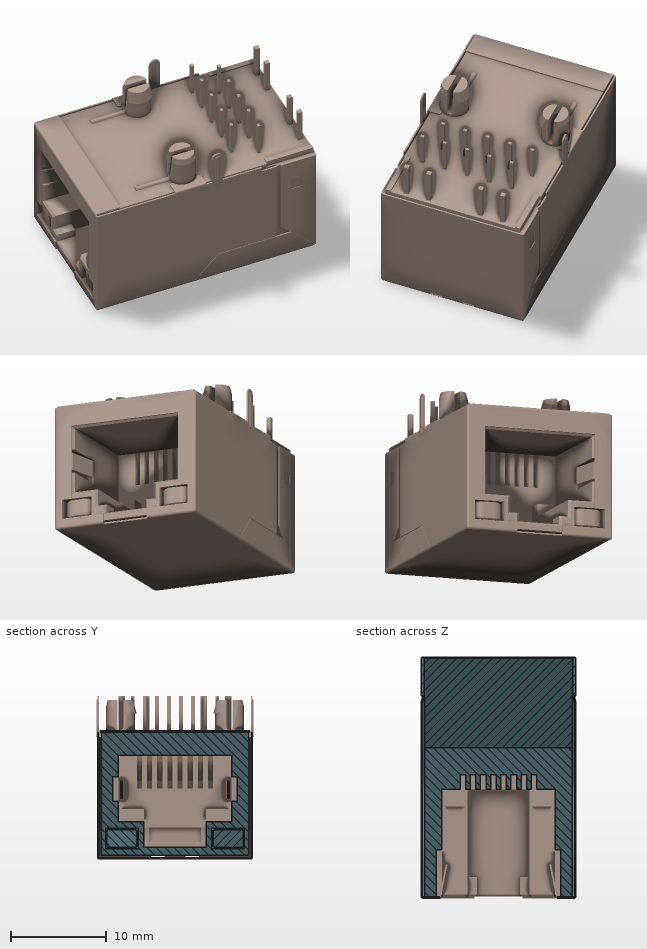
import cadquery as cq
import math


SIDES = (-1, 1)

length = 25.3
half_width = 8.12
sheet = 0.18
bend = 0.25
overall_top = 17.05
root = 0.25
core_bottom = 0.38
core_top = 13.25
core_half_width = 7.77
core_split = 15.79

shield_top = core_top + sheet
inner_half_width = half_width - sheet
rear_inner = length - sheet

port_half_width = 5.92
port_top = 10.85
shelf_z = 3.92
shelf_half_gap = 3.26
sill_z = 2.15
sill_half_gap = 2.28
floor_z = 1.25
port_bevel = 0.23
port_end = 11.38

window_half_width = port_half_width + port_bevel
window_top = port_top + port_bevel
notch_half_width = sill_half_gap + port_bevel

light_x = 5.57
pocket_width = 3.35
pocket_bottom = 1.1
pocket_top = 3.2
pocket_depth = 3.04

peg_x = 5.72
peg_y = 10.83

spring_bottom = 6.32
spring_top = 8.15
spring_end = 3.55


def block(x0, x1, y0, y1, z0, z1):
    """Axis-aligned block between two X, two Y and two Z values, in any order."""
    return (
        cq.Workplane("XY")
        .box(abs(x1 - x0), abs(y1 - y0), abs(z1 - z0))
        .translate(((x0 + x1) / 2, (y0 + y1) / 2, (z0 + z1) / 2))
    )


def both_sides(shape):
    """The shape together with its mirror image across the YZ plane."""
    return shape.union(shape.mirror("YZ"))


lip_length = 2.83
lip_half_width = 7.82
rear_wall_top = 12.78
side_relief_y = 18.98

flap_edge = 21.18
joggle_start = 20.37
bottom_flap_top = 2.93
bottom_flap_front = 14.02
bottom_flap_rear = 22.35
seam = 0.05


def shield_shell():
    shell = block(-half_width, half_width, 0, length, 0, shield_top)
    shell = shell.edges("|Z").fillet(bend)
    shell = shell.faces("<Z").edges().fillet(bend)
    shell = shell.faces(">Z").edges("<Y").fillet(bend)
    shell = shell.cut(block(-inner_half_width, inner_half_width, sheet, rear_inner, sheet, core_top))
    shell = shell.cut(block(-half_width, half_width, lip_length, length, core_top, shield_top))
    shell = shell.cut(both_sides(block(lip_half_width, half_width, 0, length, core_top, shield_top)))
    return shell.cut(block(-half_width, half_width, side_relief_y, length, rear_wall_top, shield_top))


def front_window():
    """Opening for the port and both lights, with a notch through the bottom edge."""
    pocket_outer = light_x + pocket_width / 2
    depth = 2 * bend
    port = block(-window_half_width, window_half_width, 0, depth, pocket_bottom, window_top)
    lights = block(-pocket_outer, pocket_outer, 0, depth, pocket_bottom, pocket_top - seam)
    notch = block(-notch_half_width, notch_half_width, 0, bend, 0, pocket_bottom)
    return port.union(lights).union(notch)


def rear_slots():
    """Slots beside the tongue that joins the rear panel to the bottom."""
    tongue_half_width = 1.11
    slot_top = core_bottom
    relief = 0.1
    slots = block(tongue_half_width, notch_half_width, rear_inner, length, sheet, slot_top)
    corner = block(inner_half_width, half_width, rear_inner - relief, rear_inner, sheet, slot_top)
    return both_sides(slots.union(corner))


def side_prism(points):
    """YZ outline extruded through the right side wall."""
    return (
        cq.Workplane("YZ", origin=(inner_half_width, 0, 0))
        .polyline(points)
        .close()
        .extrude(sheet)
    )


def side_seams():
    """Gaps around the bottom flap, and the window that shows the joggled inner sheet."""
    rise = bottom_flap_top - bend
    front_foot = bottom_flap_front - rise
    rear_foot = bottom_flap_rear + rise
    bottom_seam = side_prism([
        (front_foot, bend),
        (bottom_flap_front, bottom_flap_top),
        (bottom_flap_rear, bottom_flap_top),
        (rear_foot, bend),
        (rear_foot + seam, bend),
        (bottom_flap_rear + seam, bottom_flap_top + seam),
        (bottom_flap_front - seam, bottom_flap_top + seam),
        (front_foot - seam, bend),
    ])
    joggle_window = side_prism([
        (joggle_start, bottom_flap_top),
        (bottom_flap_rear, bottom_flap_top),
        (flap_edge, bottom_flap_top + bottom_flap_rear - flap_edge),
        (flap_edge, rear_wall_top),
        (joggle_start, rear_wall_top),
    ])
    return both_sides(bottom_seam.union(joggle_window))


def joggled_sheet():
    """Rear end of a side wall, stepped inward by one sheet in an S bend behind the rear flap."""
    overlap = 0.13
    mid_y = (joggle_start + flap_edge) / 2
    deep = inner_half_width - sheet
    sheet_plan = (
        cq.Workplane("XY", origin=(0, 0, bottom_flap_top + seam))
        .moveTo(half_width, joggle_start - overlap)
        .lineTo(half_width, joggle_start)
        .tangentArcPoint((half_width - sheet / 2, mid_y), relative=False)
        .tangentArcPoint((inner_half_width, flap_edge), relative=False)
        .lineTo(inner_half_width, rear_inner)
        .lineTo(deep, rear_inner)
        .lineTo(deep, flap_edge)
        .tangentArcPoint((inner_half_width - sheet / 2, mid_y), relative=False)
        .tangentArcPoint((inner_half_width, joggle_start), relative=False)
        .lineTo(inner_half_width, joggle_start - overlap)
        .close()
    )
    return sheet_plan.extrude(rear_wall_top - bottom_flap_top - seam)


def latch_recess():
    """Shallow square recesses in the rear flaps."""
    size = 1.35
    centre_y = 23.0
    centre_z = 9.72
    corner = 0.15
    depth = 0.05
    recess = block(half_width - depth, half_width, centre_y - size / 2, centre_y + size / 2,
                   centre_z - size / 2, centre_z + size / 2)
    return both_sides(recess.edges("|X").fillet(corner))


def peg_tab():
    """Tab folded from a side wall onto the housing, cut away around the peg."""
    tab_half_length = 1.77
    tab_inner = 6.6
    tab_bend = 0.15
    corner = 0.25
    clearance_radius = 1.65
    tab = block(tab_inner, half_width, peg_y - tab_half_length, peg_y + tab_half_length,
                core_top, shield_top)
    tab = tab.edges("|Z and <X").fillet(corner).edges("|Y and >X and >Z").fillet(tab_bend)
    clearance = (
        cq.Workplane("XY", origin=(peg_x, peg_y, core_top)).circle(clearance_radius).extrude(sheet)
    )
    return tab.cut(clearance)


def ground_post(shield):
    """Adds the round-ended posts on both side walls, with their embossed stiffening ribs."""
    post_y = 13.9
    post_width = 1.21
    rib_width = 0.58
    rib_bottom = 12.73
    rib_top = 16.77
    rib_height = 0.08
    rib_slope = 45.0
    post_radius = post_width / 2
    post = block(inner_half_width, half_width, post_y - post_radius, post_y + post_radius,
                 core_top - root, overall_top - post_radius)
    cap = (
        cq.Workplane("YZ", origin=(inner_half_width, post_y, overall_top - post_radius))
        .circle(post_radius)
        .extrude(sheet)
    )

    def rib(base_x):
        return (
            cq.Workplane("YZ", origin=(base_x, post_y, (rib_bottom + rib_top) / 2))
            .slot2D(rib_top - rib_bottom, rib_width, 90)
            .extrude(rib_height, taper=rib_slope)
        )

    shield = shield.union(both_sides(post.union(cap)))
    shield = shield.union(both_sides(rib(half_width)))
    return shield.cut(both_sides(rib(inner_half_width)))


def side_spring():
    """Leaf spring bent from the window edge into the port."""
    tip_x = 5.35
    shoulder_x = 6.02
    return (
        cq.Workplane("XY", origin=(0, 0, spring_bottom))
        .polyline([
            (window_half_width + sheet, 0),
            (window_half_width, 0),
            (shoulder_x, sheet),
            (tip_x, spring_end),
            (tip_x + sheet, spring_end + seam),
            (shoulder_x + sheet, sheet),
            (window_half_width + sheet, sheet),
        ])
        .close()
        .extrude(spring_top - spring_bottom)
    )


def make_shield():
    shield = shield_shell()
    shield = shield.cut(front_window()).cut(rear_slots())
    shield = shield.cut(side_seams()).cut(latch_recess())
    shield = shield.union(both_sides(joggled_sheet()))
    shield = shield.union(both_sides(peg_tab())).union(both_sides(side_spring()))
    return ground_post(shield)


def port_outline(offset, y):
    """Stepped port outline, grown by an offset, on the plane at the given Y."""
    right = [
        (port_half_width + offset, port_top + offset),
        (port_half_width + offset, shelf_z - offset),
        (shelf_half_gap + offset, shelf_z - offset),
        (shelf_half_gap + offset, sill_z - offset),
        (sill_half_gap + offset, sill_z - offset),
        (sill_half_gap + offset, floor_z - offset),
    ]
    left = [(-x, z) for x, z in reversed(right)]
    return cq.Workplane("XZ", origin=(0, y, 0)).polyline(right + left).close()


def port_cavity():
    sill_end = 2.23
    stop_front = 9.61
    stop_top = 5.25
    latch_half_width = 2.7
    latch_top = 3.3
    latch_step_end = 12.15
    latch_end = 12.65
    front = sheet
    cavity = port_outline(0, front).extrude(front - port_end)
    bevel = port_outline(port_bevel, front).extrude(-port_bevel, taper=45)
    behind_sills = block(-shelf_half_gap, shelf_half_gap, sill_end, port_end, floor_z, shelf_z)
    latch_step = block(-shelf_half_gap, shelf_half_gap, port_end, latch_step_end, floor_z, latch_top)
    latch_pocket = block(-latch_half_width, latch_half_width, port_end, latch_end, floor_z, latch_top)
    stop = block(shelf_half_gap, port_half_width, stop_front, port_end, shelf_z, stop_top)
    cavity = cavity.union(bevel).union(behind_sills).union(latch_step).union(latch_pocket)
    return cavity.cut(both_sides(stop))


def contact_slots():
    """Row of slots in the port's rear wall, each with a ceiling sloping up to the front."""
    count = 8
    pitch = 1.05
    width = 0.53
    bottom = 7.35
    slope_start = 8.15
    end = 13.15
    outline = [(port_end, bottom), (end, bottom), (end, slope_start), (port_end, port_top)]
    slot = cq.Workplane("YZ", origin=(-width / 2, 0, 0)).polyline(outline).close().extrude(width)
    slots = cq.Workplane("XY")
    for index in range(count):
        slots = slots.union(slot.translate(((index - (count - 1) / 2) * pitch, 0, 0)))
    return slots


def spring_recess():
    """Recess in the port's side wall behind a side spring."""
    bottom = 6.07
    top = 8.58
    end = 5.05
    depth = 0.55
    return block(port_half_width, port_half_width + depth, sheet, end, bottom, top)


def light_pocket():
    return block(light_x - pocket_width / 2, light_x + pocket_width / 2,
                 sheet, pocket_depth, pocket_bottom, pocket_top)


peg_slot_width = 0.6
peg_slot_bottom = 13.5


def board_peg():
    """Right-hand split peg: slotted post with sloping front and rear flats and an inward barb."""
    radius = 3.0 / 2
    top = 16.67
    top_radius = 1.35
    shoulder_z = 16.01
    barb_radius = 1.67
    barb_bottom = 15.23
    barb_top = 15.38
    flat_slope = 4.8
    base_half_depth = 1.5

    post_half = [(0, core_top), (radius, core_top), (radius, shoulder_z), (top_radius, top), (0, top)]
    barb_half = [(0, barb_bottom), (barb_radius, barb_bottom), (barb_radius, barb_top),
                 (top_radius, top), (0, top)]
    post = cq.Workplane("XZ").polyline(post_half).close().revolve(360, (0, 0), (0, 1))
    barb = cq.Workplane("XZ").polyline(barb_half).close().revolve(360, (0, 0), (0, 1))
    inward = block(-2 * radius, 0, -2 * radius, 2 * radius, core_top, top)
    peg = post.union(barb.intersect(inward))

    top_half_depth = base_half_depth - (top - core_top) * math.tan(math.radians(flat_slope))
    flats = (
        cq.Workplane("YZ", origin=(-2 * radius, 0, 0))
        .polyline([(-base_half_depth, core_top), (base_half_depth, core_top),
                   (top_half_depth, top), (-top_half_depth, top)])
        .close()
        .extrude(4 * radius)
    )
    slot_radius = peg_slot_width / 2
    slot = (
        cq.Workplane("XZ", origin=(0, 2 * radius, 0))
        .moveTo(-slot_radius, top)
        .lineTo(-slot_radius, peg_slot_bottom + slot_radius)
        .threePointArc((0, peg_slot_bottom), (slot_radius, peg_slot_bottom + slot_radius))
        .lineTo(slot_radius, top)
        .close()
        .extrude(4 * radius)
    )
    return peg.intersect(flats).cut(slot).translate((peg_x, peg_y, 0))


def peg_rail():
    """Half-round rail on top of the housing, running from the peg towards the front."""
    rail_front = 5.52
    rail_rear = peg_y - 1.26
    radius = peg_slot_width / 2
    rod = (
        cq.Workplane("XZ", origin=(peg_x, rail_front, peg_slot_bottom - radius))
        .circle(radius)
        .extrude(rail_front - rail_rear)
    )
    return rod.intersect(block(0, half_width, 0, length, core_top - sheet, shield_top + sheet))


def make_housing():
    housing = block(-core_half_width, core_half_width, sheet, core_split, core_bottom, core_top)
    housing = housing.cut(port_cavity()).cut(contact_slots())
    housing = housing.cut(both_sides(spring_recess())).cut(both_sides(light_pocket()))
    return housing.union(both_sides(board_peg().union(peg_rail())))


def pin(x, y, width, depth):
    return block(x - width / 2, x + width / 2, y - depth / 2, y + depth / 2, core_top - root, overall_top)


def add_edge_rails(module):
    """Adds the raised rails along the module's top edges and cuts the shoulders outside them."""
    front = 19.73
    inner = 7.05
    outer = 7.62
    rail = block(inner, outer, front, rear_inner, core_top - root, shield_top)
    shoulder = block(outer, core_half_width, front, rear_inner, rear_wall_top, core_top)
    return module.union(both_sides(rail)).cut(both_sides(shoulder))


def make_module():
    module = block(-core_half_width, core_half_width, core_split, rear_inner, core_bottom, core_top)
    module = add_edge_rails(module)
    row_count = 5
    signal_pitch = 2.53
    stagger = signal_pitch / 4
    for row_y, shift in ((17.13, -stagger), (19.68, stagger)):
        for index in range(row_count):
            x = (index - (row_count - 1) / 2) * signal_pitch + shift
            module = module.union(pin(x, row_y, 0.4, 0.3))
    light_pin_y = 24.5
    light_pin_size = 0.5
    for x in (2.93, 5.46):
        for side in SIDES:
            module = module.union(pin(side * x, light_pin_y, light_pin_size, light_pin_size))
    return module


def make_light(side):
    """Light with a flat front between two rounded sides, filling the end of its pocket."""
    half = 1.6
    corner = 1.05
    bottom = 1.2
    top = 3.1
    front = 0.25
    edge = 0.15
    light = block(-half, half, front, pocket_depth, bottom, top)
    light = light.edges("|Z and <Y").fillet(corner)
    for face in (">Z", "<Z"):
        light = light.faces(face).edges("not >Y").chamfer(edge)
    return light.translate((side * light_x, 0, 0))


shield = make_shield()
housing = make_housing()
module = make_module()
lights = [make_light(side) for side in SIDES]

result = cq.Compound.makeCompound(
    [shield.val(), housing.val(), module.val(), *[light.val() for light in lights]]
)